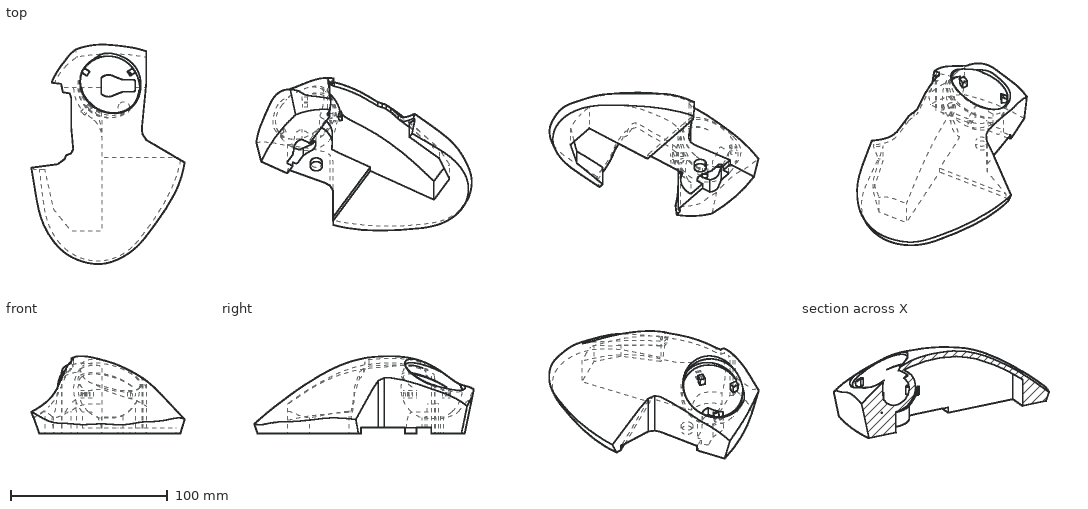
import cadquery as cq
import math

ROOM = 84.3
BELOW = -1.4
NECK_FLOOR = 3.8
FRONT_WALL = 113.0
RECESS_REAR = 68.1
DIVIDER_X = 2.8
ROOF_SHIFT = (0, 0, -4.2)

BALL_CENTER = cq.Vector(7.2, 113.1, 28.8)
BALL_RADIUS = 19.7
CUP_RADIUS = 22.5
FLARE_RADIUS = 16.7
MOUTH_CENTER = cq.Vector(9.3, 116.2, 39.6)
MOUTH_AXIS = cq.Vector(0.3, 0.45, 1).normalized()
MOUTH_RADIUS = 22.8
MOUTH_LIP = 4.2
MOUTH_DEPTH = 11.2

BOSS_RADIUS = 16.9
BOSS_TOP = 15.7
BOSS_CHAMFER = 1.7
PEG_RADIUS = 3.8
PEG_CENTER = (16.9, 99.9)
PEG_ROOT = 1.4

SEAT_WIDTH = 3.4
SEAT_HEIGHT = 5.0
SEAT_INNER = 15.5
SEAT_OUTER = 23.6
SEAT_DROP = 3.5
SEAT_ANGLES = (33, 147, 225)

KEYHOLE_RADIUS = 6.9
KEYHOLE_FLAT = 2.5
KEYHOLE_END = 24.2
SLOT_HALF_WIDTH = 3.8
SLOT_CENTER_Y = 113.8
TAPER_START = 10.7
TAPER_END = 16.2
TAPER_HALF_WIDTH = 5.9
SLOT_CORNER = 1.1

SECTIONS = [
    (-5.6, [(-53.4, -11.2), (-33.7, -5.6), (-22.5, -2.8), (-18.3, -1.4), (-14, 0), (0, 2.7),
          (8.4, 1.4), (14, -0.7), (22.5, -4.2), (33.7, -8.4), (56.2, -15.5)]),
    (4.2, [(-53.4, -4.2), (-33.7, 1.4), (-22.5, 4.2), (-18.3, 5.6), (-14, 6.9), (0, 10.0),
         (8.4, 8.7), (14, 6.5), (22.5, 2.8), (33.7, -1.4), (56.2, -8.4)]),
    (21, [(-53.4, 1.4), (-33.7, 8.4), (-25.3, 10.5), (-20.4, 14.7), (-14.7, 20.4), (0, 23.3),
          (12.6, 20.8), (21, 16.2), (28.1, 11.7), (33.7, 7.7), (56.2, -5.6)]),
    (42.1, [(-53.4, 7), (-40.0, 12.0), (-28.1, 16.9), (-21.8, 25.3), (-15.5, 34.8), (0, 37.0),
          (16.9, 32.0), (28.1, 24.6), (39.3, 15.5), (47.8, 9.7), (64.6, -1.4)]),
    (67.4, [(-53.4, 9.1), (-42.1, 14.7), (-28.8, 25.0), (-21.8, 37.9), (-15.5, 46.4), (0, 46.1),
          (16.9, 40.5), (30.9, 33.0), (43.5, 21.6), (55.5, 9.5), (64.6, 0)]),
    (81.5, [(-53.4, 9.8), (-42.1, 15.5), (-28.8, 25.3), (-22.5, 37.9), (-16.2, 48.0), (0, 47.6),
          (16.9, 41.9), (30.9, 34.1), (43.5, 22.0), (55.5, 9.5), (64.6, 0)]),
    (101.1, [(-53.4, 5.6), (-39.3, 9.8), (-28.8, 19.7), (-25.7, 33.7), (-21.5, 44.1), (0, 47.0),
          (14, 43.0), (25.3, 36.5), (36.5, 26.0), (50.5, 11.2), (64.6, -2.8)]),
    (118, [(-53.4, -4.2), (-36.5, 1.4), (-28.5, 9.1), (-25.3, 23.9), (-21.8, 37.0), (0, 39.9),
          (14, 37.4), (25.3, 31.5), (36.5, 22.5), (50.5, 8.4), (64.6, -7)]),
    (132, [(-53.4, -16.9), (-36.5, -7), (-23.9, 2.8), (-20.2, 9.8), (-16.2, 26.0), (0, 31.3),
          (14, 28.5), (25.3, 24.2), (36.5, 16.2), (50.5, 2.8), (64.6, -11.2)]),
    (146.1, [(-53.4, -25.3), (-36.5, -16.9), (-21, -4.2), (-16.9, 4.2), (-12.0, 18.3), (0, 22.8),
           (14, 20.1), (25.3, 16.2), (36.5, 8.4), (50.5, -4.2), (64.6, -18.3)]),
]

PALM_OUTLINE = [(-37.4, 61.8), (-35.1, 43.5), (-31.7, 26.7), (-21.6, 10.7), (0, 2.0), (17.7, 7.5),
                (32.0, 22.9), (43.5, 40.7), (51.3, 59), (53.7, 70.2)]
FRONT_RIGHT = (36.5, 131.0)
FRONT_ARC = [(8.4, 134.4), (-12.9, 132.5)]
WING_MIDDLE = (-22.3, 124.2)
WING_CORNER = (-28.1, 114.5)
FLARE_CENTER = (2.8, 63.2)
WALL_SLOPE = {"palm": 0.35, "front": 0.21}


LEFT_WINDOW = [(-ROOM, 61.0), (-42.1, 61.5), (-25.3, 63.8), (-21, 66.9), (-20.0, 69.4), (-16.9, 70.7),
               (-15.5, 73), (-16.7, 87.1), (-16.7, 106.0), (-17.7, 108.9), (-22.0, 109.5), (-23.2, 114.9),
               (-29.4, 115.7), (-ROOM, 115.7)]
RIGHT_WINDOW = [(31.3, 154.5), (31.3, 115.2), (28.5, 86.4), (29.0, 82.9), (31.3, 79.2), (55.5, 65.0),
                (ROOM, 47.8), (ROOM, 154.5)]
CHAMBER_PLAN = [(DIVIDER_X, 21), (-16.9, 21), (-28.1, 35.1), (-33.7, 60.4), (-ROOM, 60.4),
                (-ROOM, FRONT_WALL), (DIVIDER_X, FRONT_WALL)]


def flared(point, height, slope):
    """Move an outline point outward as the wall rises to the given height."""
    dx = point[0] - FLARE_CENTER[0]
    dy = point[1] - FLARE_CENTER[1]
    reach = 1 + slope * height / math.hypot(dx, dy)
    return (FLARE_CENTER[0] + dx * reach, FLARE_CENTER[1] + dy * reach, height)


def outline_wire(height):
    palm = [cq.Vector(*flared(p, height, WALL_SLOPE["palm"])) for p in PALM_OUTLINE]
    front = [cq.Vector(*flared(p, height, WALL_SLOPE["front"]))
             for p in [FRONT_RIGHT, *FRONT_ARC, WING_MIDDLE, WING_CORNER]]
    return cq.Wire.assembleEdges([
        cq.Edge.makeSpline(palm),
        cq.Edge.makeLine(palm[-1], front[0]),
        cq.Edge.makeThreePointArc(*front[:3]),
        cq.Edge.makeThreePointArc(*front[2:]),
        cq.Edge.makeLine(front[-1], palm[0]),
    ])


def section_wire(y, points):
    top = [cq.Vector(x, y, z) for x, z in points]
    low_left = cq.Vector(top[0].x, y, -ROOM)
    low_right = cq.Vector(top[-1].x, y, -ROOM)
    return cq.Wire.assembleEdges([
        cq.Edge.makeSpline(top),
        cq.Edge.makeLine(top[-1], low_right),
        cq.Edge.makeLine(low_right, low_left),
        cq.Edge.makeLine(low_left, top[0]),
    ])


def tall_prism(points):
    return cq.Workplane("XY").workplane(offset=BELOW).polyline(points).close().extrude(ROOM)


def ball(radius):
    return cq.Workplane("XY").sphere(radius).translate(BALL_CENTER)


def cup_flare():
    """Ring that blends the ball cup into the divider wall, turned about X."""
    depth = BALL_CENTER.x - DIVIDER_X
    span = CUP_RADIUS + FLARE_RADIUS
    axis_x = -(depth + FLARE_RADIUS)
    foot = math.sqrt(span ** 2 - axis_x ** 2)
    share = CUP_RADIUS / span
    touch = (axis_x * share, foot * share)
    lean = math.atan2(foot, axis_x) - math.pi
    middle = lean / 2
    bend = (axis_x + FLARE_RADIUS * math.cos(middle), foot + FLARE_RADIUS * math.sin(middle))
    ring = (cq.Workplane("XY").moveTo(*touch).threePointArc(bend, (-depth, foot))
            .lineTo(-depth, 0).lineTo(touch[0], 0).close()
            .revolve(360, (0, 0, 0), (1, 0, 0)))
    return ring.translate(BALL_CENTER)


def sensor_boss():
    boss = (cq.Workplane("XY").workplane(offset=NECK_FLOOR)
            .center(BALL_CENTER.x, BALL_CENTER.y).circle(BOSS_RADIUS)
            .extrude(BOSS_TOP - NECK_FLOOR))
    return boss.faces(">Z").edges().chamfer(BOSS_CHAMFER)


def chamber(ceiling):
    """Open space below the roof on the -X side, leaving the cup and its boss."""
    space = tall_prism(CHAMBER_PLAN).intersect(ceiling)
    return space.cut(ball(CUP_RADIUS)).cut(cup_flare()).cut(sensor_boss())


def ball_mouth():
    """Round opening through the tilted roof, with a sloped lip."""
    lip_foot = MOUTH_CENTER - MOUTH_AXIS * MOUTH_LIP
    foot = MOUTH_CENTER - MOUTH_AXIS * MOUTH_DEPTH
    bore = cq.Solid.makeCylinder(BALL_RADIUS, MOUTH_DEPTH, foot, MOUTH_AXIS)
    lip = cq.Solid.makeCone(BALL_RADIUS, MOUTH_RADIUS, MOUTH_LIP, lip_foot, MOUTH_AXIS)
    clear = cq.Solid.makeCylinder(MOUTH_RADIUS, MOUTH_DEPTH, MOUTH_CENTER, MOUTH_AXIS)
    return cq.Workplane(bore).union(cq.Workplane(lip)).union(cq.Workplane(clear))


def keyhole():
    """Flat-sided round hole running into a slot through the cup floor."""
    plane = cq.Workplane("XY", origin=(0, SLOT_CENTER_Y, BELOW))
    depth = BALL_CENTER.z
    kept = (cq.Workplane("XY").box(ROOM, ROOM, ROOM)
            .translate((KEYHOLE_FLAT + ROOM / 2, SLOT_CENTER_Y, 0)))
    round_end = plane.center(BALL_CENTER.x, 0).circle(KEYHOLE_RADIUS).extrude(depth).intersect(kept)
    slot_length = KEYHOLE_END - BALL_CENTER.x
    slot = (plane.center(BALL_CENTER.x + slot_length / 2, 0)
            .rect(slot_length, 2 * SLOT_HALF_WIDTH).extrude(depth)
            .edges("|Z and >X").fillet(SLOT_CORNER))
    taper = (plane.moveTo(TAPER_START, -TAPER_HALF_WIDTH).lineTo(TAPER_END, -SLOT_HALF_WIDTH)
             .lineTo(TAPER_END, SLOT_HALF_WIDTH).lineTo(TAPER_START, TAPER_HALF_WIDTH)
             .close().extrude(depth))
    return round_end.union(slot).union(taper)


def bearing_seat(angle):
    length = SEAT_OUTER - SEAT_INNER
    seat = cq.Workplane("XY").box(length, SEAT_WIDTH, SEAT_HEIGHT)
    seat = seat.translate((SEAT_INNER + length / 2, 0, -SEAT_DROP))
    return seat.rotate((0, 0, 0), (0, 0, 1), angle).translate(BALL_CENTER)


under_surface = cq.Workplane(cq.Solid.makeLoft([section_wire(y, points) for y, points in SECTIONS]))
walls = cq.Workplane(cq.Solid.makeLoft([outline_wire(0), outline_wire(ROOM)], True))
body = walls.intersect(under_surface).cut(tall_prism(LEFT_WINDOW)).cut(tall_prism(RIGHT_WINDOW))

ceiling = under_surface.translate(ROOF_SHIFT)
body = body.cut(chamber(ceiling))
recess_length = FRONT_WALL - RECESS_REAR
recess = (cq.Workplane("XY").box(2 * ROOM, recess_length, 2 * NECK_FLOOR)
          .translate((0, RECESS_REAR + recess_length / 2, 0)))
body = body.cut(recess)

body = body.cut(ball(BALL_RADIUS)).cut(ball_mouth()).cut(keyhole())
for angle in SEAT_ANGLES:
    body = body.union(bearing_seat(angle).intersect(ceiling))
peg = cq.Workplane("XY").center(*PEG_CENTER).circle(PEG_RADIUS).extrude(NECK_FLOOR + PEG_ROOT)
result = body.union(peg)